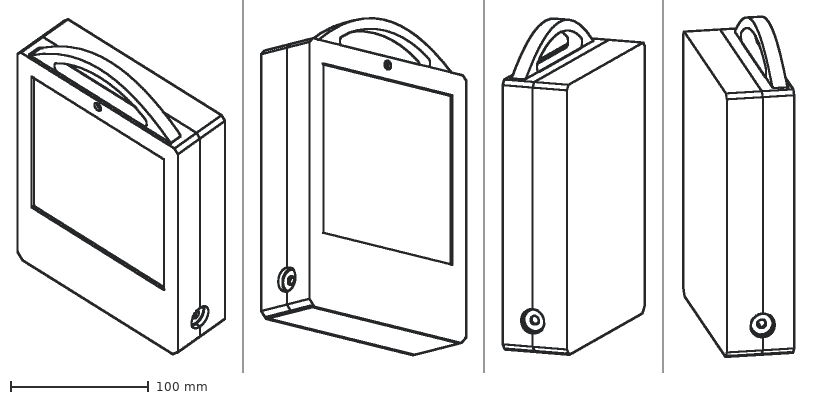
import cadquery as cq
import math

case_width = 160.0
case_depth = 50.0
case_height = 201.4
front_depth = 23.5
top_chamfer = 3.5
bottom_chamfer = 5.0

overall_height = 229.5
handle_thickness = 11.0
handle_half_width = 70.0
handle_crown_half_width = 21.8
handle_shoulder_drop = 0.7
grip_thickness = 8.0
opening_arch_radius = 82.7
handle_foot_depth = 4.5
handle_corner_radius = 2.0
handle_back = 14.0
opening_half_width = 46.0
opening_floor_drop = 0.5
opening_radius = 3.7
slot_clearance = 0.7

pad_inset = 2.0
pad_thickness = 1.1

screen_width = 131.8
screen_height = 127.2
screen_bottom = 57.2
screen_top = screen_bottom + screen_height
screen_recess = 2.3
screen_thickness = 2.3

camera_height = 195.2
camera_diameter = 6.5
camera_depth = 2.5
camera_pinhole_diameter = 2.5
camera_pinhole_depth = 2.3

port_height = 23.9
port_diameter = 18.0
port_recess = 4.1
port_disc_thickness = 2.3
port_disc_diameter = 16.0
port_bore_diameter = 6.5


def block(x_size, y_start, y_end, z_start, z_end):
    """Box centred on X and bounded by the given Y and Z limits."""
    base = cq.Workplane("XY", origin=(0, y_start, z_start))
    return base.box(x_size, y_end - y_start, z_end - z_start, centered=(True, False, False))


def rod_y(diameter, z, y_start, length):
    """Cylinder along +Y on the centre plane."""
    start = cq.Vector(0, y_start, z)
    return cq.Workplane(cq.Solid.makeCylinder(diameter / 2, length, start, cq.Vector(0, 1, 0)))


def port_rod(diameter, x_start, length):
    """Cylinder along +X on the port axis."""
    start = cq.Vector(x_start, front_depth, port_height)
    return cq.Workplane(cq.Solid.makeCylinder(diameter / 2, length, start, cq.Vector(1, 0, 0)))


def make_blank():
    """Solid outer form of the case with its chamfered corners."""
    blank = block(case_width, 0, case_depth, 0, case_height)
    blank = blank.edges("|Y and >Z").chamfer(top_chamfer)
    return blank.edges("|Y and <Z").chamfer(bottom_chamfer)


def pad_envelope():
    """Region of the case blank that belongs to the foot pad."""
    return block(case_width, pad_inset, case_depth - pad_inset, 0, pad_thickness)


def make_foot_pad():
    return make_blank().intersect(pad_envelope())


def make_case():
    case = make_blank().cut(pad_envelope())
    case = case.cut(port_rod(port_bore_diameter, -case_width / 2, case_width))
    left_port = port_rod(port_diameter, -case_width / 2, port_recess)
    disc_seat = port_rod(port_disc_diameter, port_recess - case_width / 2, port_disc_thickness)
    left_port = left_port.union(disc_seat)
    return case.cut(left_port).cut(left_port.mirror("YZ"))


def make_slot():
    slot = block(
        2 * (handle_half_width + slot_clearance),
        handle_back - handle_thickness - slot_clearance,
        handle_back,
        case_height - handle_foot_depth,
        case_height,
    )
    return slot.edges("|Z and >Y").fillet(handle_corner_radius)


def make_front_shell():
    shell = make_case().intersect(block(case_width, 0, front_depth, 0, case_height))
    shell = shell.cut(block(screen_width, 0, screen_recess + screen_thickness, screen_bottom, screen_top))
    shell = shell.cut(rod_y(camera_diameter, camera_height, 0, camera_depth))
    shell = shell.cut(rod_y(camera_pinhole_diameter, camera_height, camera_depth, camera_pinhole_depth))
    return shell.cut(make_slot())


def make_back_shell():
    return make_case().intersect(block(case_width, front_depth, case_depth, 0, case_height))


def make_screen():
    return block(screen_width, screen_recess, screen_recess + screen_thickness, screen_bottom, screen_top)


def make_handle():
    foot_bottom = case_height - handle_foot_depth
    shoulder = case_height - handle_shoulder_drop
    control_height = shoulder + (overall_height - shoulder) * 4 / 3
    outer_curve = [
        (-handle_half_width, shoulder),
        (-handle_crown_half_width, control_height),
        (handle_crown_half_width, control_height),
        (handle_half_width, shoulder),
    ]
    back_plane = cq.Workplane("XZ", origin=(0, handle_back, 0))
    handle = (
        back_plane.moveTo(-handle_half_width, foot_bottom)
        .lineTo(-handle_half_width, shoulder)
        .bezier(outer_curve)
        .lineTo(handle_half_width, foot_bottom)
        .close()
        .extrude(handle_thickness)
    )
    handle = handle.edges("|Z and >Y").fillet(handle_corner_radius)

    opening_floor = case_height - opening_floor_drop
    opening_crest = overall_height - grip_thickness
    arch_centre = opening_crest - opening_arch_radius
    opening_side_top = arch_centre + math.sqrt(opening_arch_radius**2 - opening_half_width**2)
    opening = (
        back_plane.moveTo(-opening_half_width, opening_floor)
        .lineTo(-opening_half_width, opening_side_top)
        .threePointArc((0, opening_crest), (opening_half_width, opening_side_top))
        .lineTo(opening_half_width, opening_floor)
        .close()
        .extrude(handle_thickness)
        .edges("|Y")
        .fillet(opening_radius)
    )
    return handle.cut(opening)


def make_port_disc(side):
    """Pierced disc at the floor of a side port; side is -1 for -X, +1 for +X."""
    outer_face = case_width / 2 - port_recess
    disc = port_rod(port_disc_diameter, -outer_face, port_disc_thickness)
    disc = disc.cut(port_rod(port_bore_diameter, -outer_face, port_disc_thickness))
    return disc if side < 0 else disc.mirror("YZ")


front_shell = make_front_shell()
back_shell = make_back_shell()
foot_pad = make_foot_pad()
screen = make_screen()
handle = make_handle()
port_discs = [make_port_disc(side) for side in (-1, 1)]

result = cq.Compound.makeCompound(
    [
        front_shell.val(),
        back_shell.val(),
        foot_pad.val(),
        screen.val(),
        handle.val(),
        *[disc.val() for disc in port_discs],
    ]
)